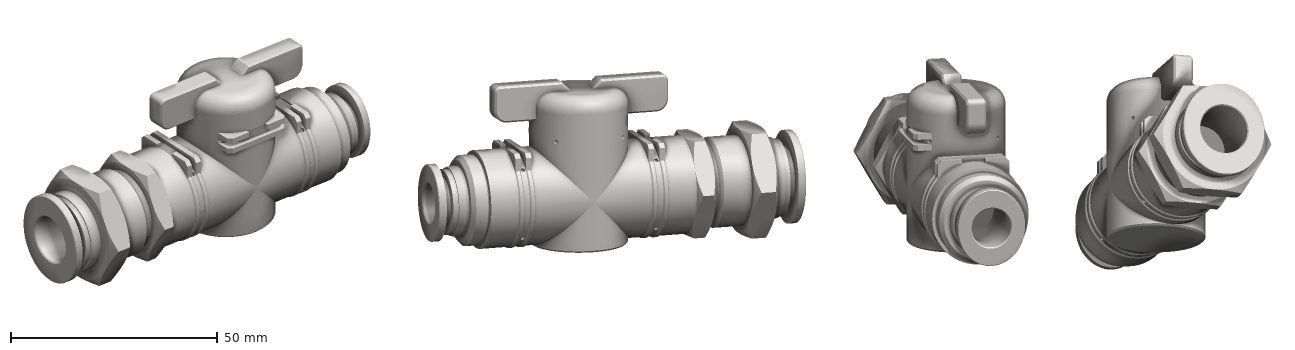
import cadquery as cq
import math

BODY_RADIUS = 12.0
OVERALL_LENGTH = 93.2
BODY_HALF_LENGTH = 26.3

STEM_TOP = 26.0
STEM_BOTTOM = -12.5
STEM_BOTTOM_CHAMFER = 0.5
DOME_FILLET = 4.0

COLLAR_RADIUS = 11.1
COLLAR_ROOT_RADIUS = 10.1
COLLAR_CHAMFER = 0.9
RELIEF_RADIUS = 10.6
RELIEF_LENGTH = 0.5

FLANGE_THICKNESS = 2.0
FLANGE_CHAMFER = 0.2
NECK_LENGTH = 1.8
SLEEVE_STEP = 1.4
BORE_CHAMFER = 0.3
BORE_DEPTH = 18.6

PLAIN_END = 38.4
PLAIN_COLLAR_LENGTH = 4.0
PLAIN_SLEEVE_RADII = (8.7, 8.4, 8.0)
PLAIN_NECK_RADIUS = 6.15
PLAIN_FLANGE_RADII = (8.4, 9.5)
PLAIN_BORE_RADIUS = 4.8

PANEL_END = PLAIN_END - OVERALL_LENGTH
PANEL_COLLAR_START = -32.6
PANEL_COLLAR_TIP = 0.4
PANEL_SLEEVE_RADII = (10.1, 9.9, 9.5)
PANEL_NECK_RADIUS = 7.55
PANEL_FLANGE_RADII = (10.3, 11.5)
PANEL_BORE_RADIUS = 6.0

BODY_HEX_FLATS = 2 * BODY_RADIUS
BODY_HEX_WIDTH = 4.8
NUT_FLATS = 26.0
NUT_WIDTH = 6.0
NUT_START = -40.6
HEX_SIDES = 6
HEX_CHAMFER_ANGLE = 30

HANDLE_HALF_LENGTH = 22.2
HANDLE_WIDTH = 4.9
HANDLE_TOP = 28.1
HANDLE_BOTTOM = 19.1
HANDLE_INNER_END = 2.8
HANDLE_TOP_FILLET = 1.4
HANDLE_BOTTOM_FILLET = 3.1
HANDLE_BEVEL = 0.5

RIB_WIDTH = 1.4
RIB_SPACING = 2.8
RIB_RADIUS = 12.3
RIB_CHAMFER = 0.3
FLOW_RIB_CENTRE = 17.1
STEM_RIB_CENTRE = 14.9
PAD_HEIGHT = 12.6
PAD_HALF_WIDTH = 8.95
PAD_CHAMFER = 1.0
PAD_FLOOR = 11.5
PAD_GAP = 5.8
DIMPLE_DIAMETER = 1.0
DIMPLE_DEPTH = 0.7


def turned(profile):
    """Revolve (radius, y) points, closed along the axis, about the Y axis."""
    first_y = profile[0][1]
    last_y = profile[-1][1]
    outline = [(0, first_y)] + profile + [(0, last_y)]
    return cq.Workplane("XY").polyline(outline).close().revolve(360, (0, 0, 0), (0, 1, 0))


def hexagon(flats, y_start, width):
    """Hexagon running towards -Y with both faces chamfered down to the flats circle."""
    corner_diameter = flats / math.cos(math.pi / HEX_SIDES)
    flat_radius = flats / 2
    corner_radius = corner_diameter / 2
    drop = (corner_radius - flat_radius) * math.tan(math.radians(HEX_CHAMFER_ANGLE))
    y_end = y_start - width
    prism = cq.Workplane("XZ", origin=(0, y_start, 0)).polygon(HEX_SIDES, corner_diameter).extrude(width)
    envelope = turned([
        (flat_radius, y_start),
        (corner_radius, y_start - drop),
        (corner_radius, y_end + drop),
        (flat_radius, y_end),
    ])
    return prism.intersect(envelope)


def port_end(end, outward, root, sleeve_radii, neck_radius, flange_radii):
    """Sleeve, neck and oval flange; outward is +1 or -1 along Y, root is buried in the collar."""
    root_radius, taper_radius, front_radius = sleeve_radii
    neck_end = end - outward * FLANGE_THICKNESS
    sleeve_end = neck_end - outward * NECK_LENGTH
    front_start = sleeve_end - outward * SLEEVE_STEP
    taper_start = front_start - outward * SLEEVE_STEP
    sleeve = turned([
        (root_radius, root),
        (root_radius, taper_start),
        (taper_radius, front_start),
        (front_radius, front_start),
        (front_radius, sleeve_end),
        (neck_radius, sleeve_end),
        (neck_radius, end),
    ])
    flange = (
        cq.Workplane("XZ", origin=(0, end, 0))
        .ellipse(*flange_radii)
        .extrude(outward * FLANGE_THICKNESS)
        .faces(">Y" if outward > 0 else "<Y")
        .chamfer(FLANGE_CHAMFER)
    )
    return sleeve.union(flange)


def bore(end, outward, radius):
    """Blind tube socket with a small entry chamfer."""
    mouth = radius + BORE_CHAMFER
    return turned([
        (mouth, end),
        (radius, end - outward * BORE_CHAMFER),
        (radius, end - outward * BORE_DEPTH),
    ])


def rib_ring(centre):
    """One chamfered rib around the flow axis."""
    half = RIB_WIDTH / 2
    return turned([
        (BODY_RADIUS, centre - half),
        (RIB_RADIUS, centre - half + RIB_CHAMFER),
        (RIB_RADIUS, centre + half - RIB_CHAMFER),
        (BODY_RADIUS, centre + half),
    ])


def pad_block(centre):
    """Flat topped pad on the +Z side of a rib around the Y axis."""
    return (
        cq.Workplane("XY")
        .box(2 * PAD_HALF_WIDTH, RIB_WIDTH, PAD_HEIGHT, centered=(True, True, False))
        .edges("|Y and >Z")
        .chamfer(PAD_CHAMFER)
        .translate((0, centre, 0))
    )


def pad_pair(centre):
    """Two pads side by side along +Y."""
    inner = pad_block(centre - RIB_SPACING / 2)
    outer = pad_block(centre + RIB_SPACING / 2)
    return inner.union(outer)


def pad_cuts(centre):
    """Flat floor between two pads, the gap splitting the outer pad, and four dimples."""
    clearance = PAD_HEIGHT - PAD_FLOOR
    valley_length = RIB_SPACING - RIB_WIDTH
    cuts = cq.Workplane("XY", origin=(0, centre, PAD_FLOOR)).box(
        2 * PAD_HALF_WIDTH, valley_length, clearance, centered=(True, True, False)
    )
    gap = cq.Workplane("XY", origin=(0, centre + RIB_SPACING / 2, PAD_FLOOR)).box(
        PAD_GAP, RIB_WIDTH, clearance, centered=(True, True, False)
    )
    cuts = cuts.union(gap)
    dimple = (
        cq.Workplane("XY", origin=(0, centre, BODY_RADIUS - DIMPLE_DEPTH))
        .circle(DIMPLE_DIAMETER / 2)
        .extrude(2 * DIMPLE_DEPTH)
    )
    for angle in (45, 135, 225, 315):
        cuts = cuts.union(dimple.rotate((0, 0, 0), (0, 1, 0), angle))
    return cuts


def toward_minus_y(shape):
    return shape.rotate((0, 0, 0), (0, 0, 1), 180)


def toward_stem(shape):
    """Turn +Y into +Z and the pad side +Z into +X."""
    return shape.rotate((0, 0, 0), (1, 0, 0), 90).rotate((0, 0, 0), (0, 0, 1), 90)


def handle_wing():
    """Wing of the handle on the +Y side; its inner end is buried in the stem."""
    slope_rise = HANDLE_TOP - STEM_TOP
    wing = (
        cq.Workplane("YZ", origin=(-HANDLE_WIDTH / 2, 0, 0))
        .moveTo(HANDLE_INNER_END, HANDLE_BOTTOM)
        .lineTo(HANDLE_HALF_LENGTH, HANDLE_BOTTOM)
        .lineTo(HANDLE_HALF_LENGTH, HANDLE_TOP)
        .lineTo(HANDLE_INNER_END + slope_rise, HANDLE_TOP)
        .lineTo(HANDLE_INNER_END, STEM_TOP)
        .close()
        .extrude(HANDLE_WIDTH)
    )
    wing = wing.edges("|X and >Y and <Z").fillet(HANDLE_BOTTOM_FILLET)
    wing = wing.edges("|X and >Y and >Z").fillet(HANDLE_TOP_FILLET)
    return wing.faces("<X or >X").edges("not(<Y)").chamfer(HANDLE_BEVEL)


body = cq.Workplane("XZ").circle(BODY_RADIUS).extrude(BODY_HALF_LENGTH, both=True)
plain_collar_start = BODY_HALF_LENGTH + RELIEF_LENGTH
plain_collar_end = plain_collar_start + PLAIN_COLLAR_LENGTH
body = body.union(turned([
    (RELIEF_RADIUS, 0),
    (RELIEF_RADIUS, plain_collar_start),
    (COLLAR_RADIUS, plain_collar_start),
    (COLLAR_RADIUS, plain_collar_end - COLLAR_CHAMFER),
    (COLLAR_ROOT_RADIUS, plain_collar_end),
]))
nut_end = NUT_START - NUT_WIDTH
body = body.union(turned([
    (COLLAR_ROOT_RADIUS, 0),
    (COLLAR_ROOT_RADIUS, PANEL_COLLAR_START),
    (COLLAR_RADIUS, PANEL_COLLAR_START - COLLAR_CHAMFER),
    (COLLAR_RADIUS, nut_end),
    (COLLAR_ROOT_RADIUS, nut_end - PANEL_COLLAR_TIP),
]))
body = body.union(port_end(
    PLAIN_END, 1, BODY_HALF_LENGTH, PLAIN_SLEEVE_RADII, PLAIN_NECK_RADIUS, PLAIN_FLANGE_RADII
))
body = body.union(port_end(
    PANEL_END, -1, NUT_START, PANEL_SLEEVE_RADII, PANEL_NECK_RADIUS, PANEL_FLANGE_RADII
))
body = body.union(hexagon(BODY_HEX_FLATS, -BODY_HALF_LENGTH, BODY_HEX_WIDTH))
body = body.union(hexagon(NUT_FLATS, NUT_START, NUT_WIDTH))

stem = (
    cq.Workplane("XY", origin=(0, 0, STEM_BOTTOM))
    .circle(BODY_RADIUS)
    .extrude(STEM_TOP - STEM_BOTTOM)
    .faces(">Z").edges().fillet(DOME_FILLET)
    .faces("<Z").edges().chamfer(STEM_BOTTOM_CHAMFER)
)
body = body.union(stem)

wing = handle_wing()
body = body.union(wing).union(toward_minus_y(wing))

for side in (1, -1):
    for offset in (-RIB_SPACING / 2, RIB_SPACING / 2):
        body = body.union(rib_ring(side * FLOW_RIB_CENTRE + offset))

flow_pads = pad_pair(FLOW_RIB_CENTRE)
flow_cuts = pad_cuts(FLOW_RIB_CENTRE)
body = body.union(flow_pads).union(toward_minus_y(flow_pads))
body = body.union(toward_stem(pad_pair(STEM_RIB_CENTRE)))
body = body.cut(flow_cuts).cut(toward_minus_y(flow_cuts))
body = body.cut(toward_stem(pad_cuts(STEM_RIB_CENTRE)))

body = body.cut(bore(PLAIN_END, 1, PLAIN_BORE_RADIUS))
result = body.cut(bore(PANEL_END, -1, PANEL_BORE_RADIUS))